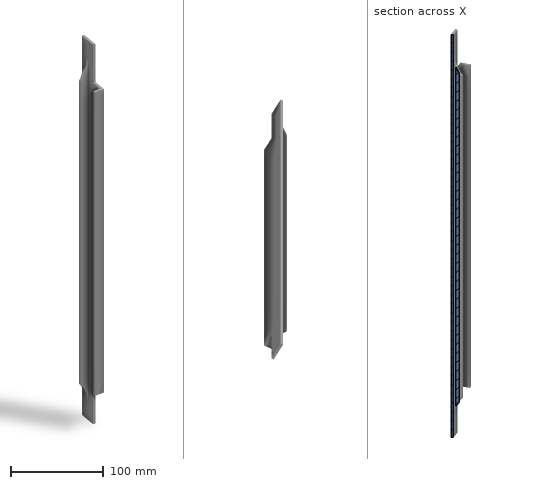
import cadquery as cq
import math

length = 495.0
width = 38.0
thickness = 3.0
end_width = 21.5
middle_length = 396.0

flange_thickness = 3.0
flange_depth = 12.0

rib_left = 9.0
rib_thickness = 2.5
rib_depth = 13.0
rib_base_length = 449.5
rib_tip_length = 396.0
catch_overhang = 1.5
catch_start = 5.5
catch_taper_start = 8.5
catch_end = 12.0


def make_plate():
    """The plate's outer face lies on Y = 0 and its ribs point to -Y."""
    strip = cq.Workplane("XY").box(end_width, thickness, length, centered=(False, False, True))
    middle = cq.Workplane("XY").box(width, thickness, middle_length, centered=(False, False, True))
    return strip.union(middle).translate((0, -thickness, 0))


def make_flange():
    flange = cq.Workplane("XY").box(
        flange_thickness, flange_depth, middle_length, centered=(False, False, True)
    )
    return flange.translate((width - flange_thickness, -flange_depth, 0))


def make_rib():
    rib_right = rib_left + rib_thickness
    catch_left = rib_left - catch_overhang
    section = [
        (rib_left, -thickness / 2),
        (rib_left, -catch_start),
        (catch_left, -catch_start),
        (catch_left, -catch_taper_start),
        (rib_left, -catch_end),
        (rib_left, -rib_depth),
        (rib_right, -rib_depth),
        (rib_right, -thickness / 2),
    ]
    rib = cq.Workplane("XY").polyline(section).close().extrude(rib_base_length / 2, both=True)

    run = (rib_base_length - rib_tip_length) / 2
    rise = rib_depth - thickness
    end_radius = (run**2 + rise**2) / (2 * rise)
    half_sweep = math.asin(run / end_radius) / 2
    mid_depth = thickness + end_radius * (1 - math.cos(half_sweep))
    mid_height = rib_base_length / 2 - end_radius * math.sin(half_sweep)
    envelope = (
        cq.Workplane("YZ")
        .moveTo(0, -rib_base_length / 2)
        .lineTo(0, rib_base_length / 2)
        .lineTo(-thickness, rib_base_length / 2)
        .threePointArc((-mid_depth, mid_height), (-rib_depth, rib_tip_length / 2))
        .lineTo(-rib_depth, -rib_tip_length / 2)
        .threePointArc((-mid_depth, -mid_height), (-thickness, -rib_base_length / 2))
        .close()
        .extrude(width)
    )
    return rib.intersect(envelope)


result = make_plate().union(make_flange()).union(make_rib())